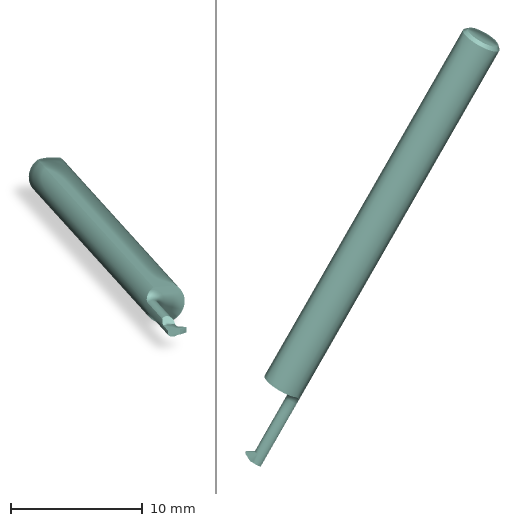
import cadquery as cq
import math


shank_diameter = 3.175
shank_radius = shank_diameter / 2
shank_length = 31.75
overall_length = 38.1
rear_chamfer = 0.27
overall_height = 2.91
flat_z = overall_height - shank_radius

neck_radius = 0.535
neck_axis_y = -1.17
flare_radius = 0.62

rake_face_z = 0.0
ramp_run = 0.46
face_length = 1.34
face_start_x = overall_length - face_length

thread_angle = 60.0
crest_y = -0.03
crest_width = 0.08
tooth_root_y = neck_axis_y
tooth_depth = 0.42
tooth_height = crest_y - (neck_axis_y + neck_radius)
flank_run = tooth_height * math.tan(math.radians(thread_angle / 2))
tooth_center_x = overall_length - flank_run - crest_width / 2


def make_shank():
    """Round bar with a chamfered rear end and a flat along its top."""
    bar = cq.Workplane("YZ").circle(shank_radius).extrude(shank_length)
    bar = bar.faces("<X").chamfer(rear_chamfer)
    above_flat = (
        cq.Workplane("XY")
        .workplane(offset=flat_z)
        .rect(2 * shank_length, shank_diameter)
        .extrude(shank_diameter)
    )
    return bar.cut(above_flat)


def make_neck():
    """Turned neck that flares into the shank, trimmed to the shank diameter."""
    flare_end_x = shank_length + flare_radius
    flare_mid = flare_radius * (1 - math.sqrt(0.5))
    turned = (
        cq.Workplane("XY")
        .moveTo(shank_length, 0)
        .lineTo(shank_length, neck_radius + flare_radius)
        .threePointArc(
            (shank_length + flare_mid, neck_radius + flare_mid),
            (flare_end_x, neck_radius),
        )
        .lineTo(overall_length, neck_radius)
        .lineTo(overall_length, 0)
        .close()
        .revolve(360, (0, 0, 0), (1, 0, 0))
        .translate((0, neck_axis_y, 0))
    )
    envelope = cq.Workplane("YZ").circle(shank_radius).extrude(overall_length)
    return turned.intersect(envelope)


def cut_rake_face(neck):
    """Remove the upper half of the neck tip, leaving a sloped ramp behind the cutting face."""
    removed = (
        cq.Workplane("XZ")
        .moveTo(face_start_x, rake_face_z)
        .lineTo(face_start_x - ramp_run, neck_radius)
        .lineTo(overall_length, neck_radius)
        .lineTo(overall_length, rake_face_z)
        .close()
        .extrude(shank_diameter, both=True)
    )
    return neck.cut(removed)


def make_tooth():
    """Symmetric 60 degree tooth with a narrow flat crest, rooted inside the neck."""
    half_crest = crest_width / 2
    half_base = half_crest + flank_run
    base_y = crest_y - tooth_height
    return (
        cq.Workplane("XY")
        .workplane(offset=rake_face_z)
        .moveTo(tooth_center_x - half_base, tooth_root_y)
        .lineTo(tooth_center_x - half_base, base_y)
        .lineTo(tooth_center_x - half_crest, crest_y)
        .lineTo(tooth_center_x + half_crest, crest_y)
        .lineTo(tooth_center_x + half_base, base_y)
        .lineTo(tooth_center_x + half_base, tooth_root_y)
        .close()
        .extrude(-tooth_depth)
    )


result = make_shank().union(cut_rake_face(make_neck())).union(make_tooth())